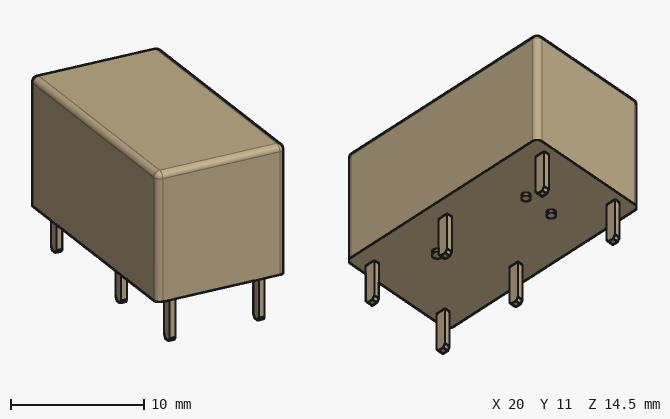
import cadquery as cq

HOUSING_LENGTH = 20.0
HOUSING_WIDTH = 11.0
TOTAL_HEIGHT = 14.5
PIN_LENGTH = 3.8
HOUSING_HEIGHT = TOTAL_HEIGHT - PIN_LENGTH
EDGE_RADIUS = 0.5

PIN_WIDTH = 0.9
PIN_THICKNESS = 0.5
PIN_ROW_SPACING = 7.62
PIN_END_INSET = 1.12
PIN_SHORT_PITCH = 7.62
PIN_TOTAL_PITCH = 17.78
TIP_INSET = 0.2
TIP_HEIGHT = 0.3

FIRST_PIN_X = PIN_END_INSET - HOUSING_LENGTH / 2
LAST_PIN_X = FIRST_PIN_X + PIN_TOTAL_PITCH
PIN_COLUMNS = (FIRST_PIN_X, LAST_PIN_X - PIN_SHORT_PITCH, LAST_PIN_X)
PIN_ROWS = (-PIN_ROW_SPACING / 2, PIN_ROW_SPACING / 2)

PEG_HEIGHT = 0.3
SMALL_PEG_DIAMETER = 0.7
SMALL_PEG_X = -4.85
LARGE_PEG_DIAMETER = 0.85
LARGE_PEG_X = 4.4
FRONT_PEG_Y = -1.3
BACK_PEG_Y = 1.42


def make_housing():
    box = cq.Workplane("XY").box(
        HOUSING_LENGTH, HOUSING_WIDTH, HOUSING_HEIGHT, centered=(True, True, False)
    )
    return box.edges("|Z or >Z").fillet(EDGE_RADIUS)


def make_pin(x, y):
    half_width = PIN_WIDTH / 2
    half_tip = half_width - TIP_INSET
    shoulder_z = TIP_HEIGHT - PIN_LENGTH
    outline = [
        (-half_width, 0),
        (-half_width, shoulder_z),
        (-half_tip, -PIN_LENGTH),
        (half_tip, -PIN_LENGTH),
        (half_width, shoulder_z),
        (half_width, 0),
    ]
    pin = cq.Workplane("XZ").polyline(outline).close().extrude(PIN_THICKNESS / 2, both=True)
    return pin.translate((x, y, 0))


def make_peg(x, y, diameter):
    return cq.Workplane("XY").center(x, y).circle(diameter / 2).extrude(-PEG_HEIGHT)


result = make_housing()

for pin_x in PIN_COLUMNS:
    for pin_y in PIN_ROWS:
        result = result.union(make_pin(pin_x, pin_y))

for peg_y in (FRONT_PEG_Y, BACK_PEG_Y):
    result = result.union(make_peg(SMALL_PEG_X, peg_y, SMALL_PEG_DIAMETER))

result = result.union(make_peg(LARGE_PEG_X, BACK_PEG_Y, LARGE_PEG_DIAMETER))